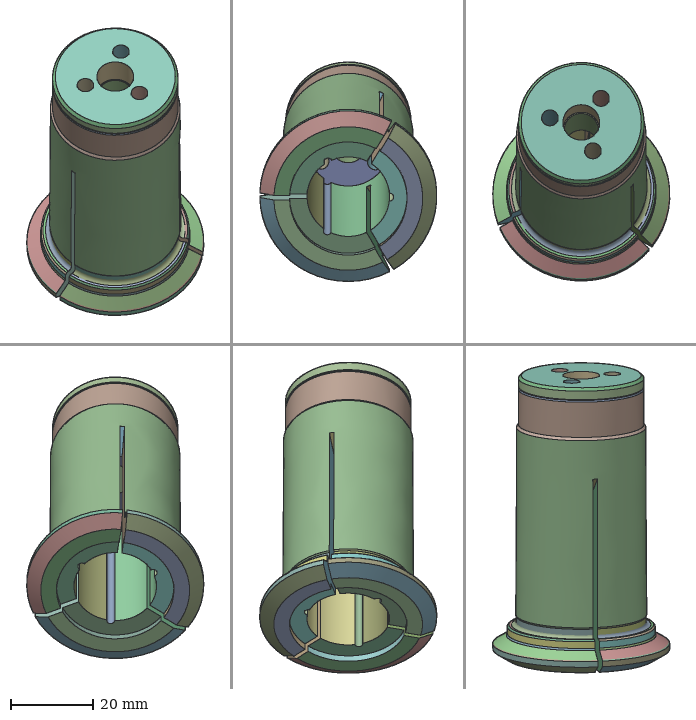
import cadquery as cq

height = 70.0
rim_bottom_z = 2.1
rim_top_z = 3.7
collar_foot_z = 5.5
collar_bottom_z = 6.0
collar_top_z = 8.1
neck_bottom_z = 8.75
neck_top_z = 10.3
sleeve_bottom_z = 10.7
sleeve_top_z = 57.1
head_bottom_z = 57.8
groove_bottom_z = 66.6
groove_floor_z = 66.9
groove_top_z = 67.1

base_radius = 18.05
rim_radius = 43.0 / 2
collar_radius = 18.0
collar_foot_radius = 18.2
neck_fillet_outer_radius = 16.95
neck_radius = 15.75
sleeve_bottom_radius = 15.95
sleeve_top_radius = 15.75
head_radius = 30.5 / 2
groove_radius = 30.0 / 2

head_chamfer = 0.7
collar_chamfer = 0.4
rim_chamfer = 0.2
neck_fillet = 0.85

mouth_radius = 28.5 / 2
mouth_depth = 1.7
bore_radius = 10.0
bore_top_z = 47.6
throat_radius = 8.25 / 2
end_hole_radius = 8.9 / 2
end_hole_depth = 7.0

small_hole_count = 3
small_hole_diameter = 4.0
small_hole_circle_radius = 7.7
first_small_hole_angle = 30.0

slot_count = 3
slot_width = 1.1
slot_overlap = 0.7
slot_top_z = 47.45
slot_bore_top_z = 43.0
first_slot_angle = 60.0

bore_groove_radius = 1.0


def outer_body():
    outline = (
        cq.Workplane("XZ")
        .lineTo(base_radius, 0)
        .lineTo(rim_radius, rim_bottom_z)
        .lineTo(rim_radius, rim_top_z - rim_chamfer)
        .lineTo(rim_radius - rim_chamfer, rim_top_z)
        .lineTo(collar_foot_radius, collar_foot_z)
        .lineTo(collar_radius, collar_bottom_z)
        .lineTo(collar_radius, collar_top_z - collar_chamfer)
        .lineTo(collar_radius - collar_chamfer, collar_top_z)
        .lineTo(neck_fillet_outer_radius, collar_top_z)
        .radiusArc((neck_radius, neck_bottom_z), neck_fillet)
        .lineTo(neck_radius, neck_top_z)
        .lineTo(sleeve_bottom_radius, sleeve_bottom_z)
        .lineTo(sleeve_top_radius, sleeve_top_z)
        .lineTo(head_radius, head_bottom_z)
        .lineTo(head_radius, groove_bottom_z)
        .lineTo(groove_radius, groove_floor_z)
        .lineTo(groove_radius, groove_top_z)
        .lineTo(head_radius, groove_top_z)
        .lineTo(head_radius, height - head_chamfer)
        .lineTo(head_radius - head_chamfer, height)
        .lineTo(0, height)
        .close()
    )
    return outline.revolve(360, (0, 0, 0), (0, 1, 0))


def cylinder(radius, bottom_z, top_z):
    return cq.Workplane("XY").workplane(offset=bottom_z).circle(radius).extrude(top_z - bottom_z)


def stepped_bore():
    mouth = cylinder(mouth_radius, 0, mouth_depth)
    bore = cylinder(bore_radius, 0, bore_top_z)
    throat = cylinder(throat_radius, 0, height)
    end_hole = cylinder(end_hole_radius, height - end_hole_depth, height)
    return mouth.union(bore).union(throat).union(end_hole)


def small_holes():
    return (
        cq.Workplane("XY")
        .polarArray(small_hole_circle_radius, first_small_hole_angle, 360, small_hole_count)
        .circle(small_hole_diameter / 2)
        .extrude(height)
    )


def slot_roof_z(radius):
    slope = (slot_top_z - slot_bore_top_z) / (sleeve_top_radius - bore_radius)
    return slot_bore_top_z + slope * (radius - bore_radius)


def slot():
    inner_reach = bore_radius - slot_overlap
    return (
        cq.Workplane("XZ")
        .moveTo(inner_reach, 0)
        .lineTo(rim_radius, 0)
        .lineTo(rim_radius, slot_roof_z(rim_radius))
        .lineTo(inner_reach, slot_roof_z(inner_reach))
        .close()
        .extrude(slot_width / 2, both=True)
    )


def bore_groove():
    return cylinder(bore_groove_radius, 0, bore_top_z).translate((bore_radius, 0, 0))


result = outer_body().cut(stepped_bore()).cut(small_holes())
slot_pitch = 360 / slot_count
for index in range(slot_count):
    slot_angle = first_slot_angle + index * slot_pitch
    groove_angle = slot_angle + slot_pitch / 2
    result = result.cut(slot().rotate((0, 0, 0), (0, 0, 1), slot_angle))
    result = result.cut(bore_groove().rotate((0, 0, 0), (0, 0, 1), groove_angle))